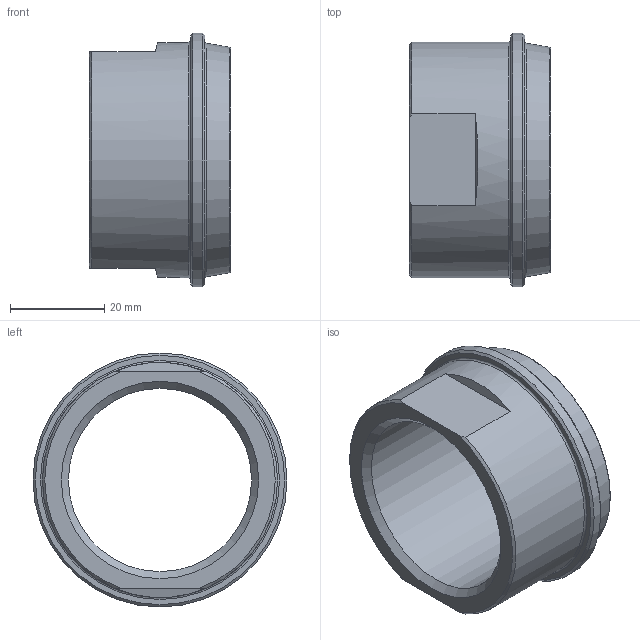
import cadquery as cq
import math

length = 30.0
bore_radius = 38.95 / 2
bore_chamfer_width = 1.5
bore_chamfer_angle = 45.0

body_radius = 25.0
front_chamfer = 0.5

collar_radius = 27.0
collar_start = 21.5
collar_width = 3.0
collar_end = collar_start + collar_width
collar_chamfer = 0.5
root_fillet = 0.4

taper_start_radius = 24.87
taper_slope = 1 / 6
rear_chamfer_length = 0.15
rear_chamfer_height = 0.1

width_across_flats = 46.0
flat_length = 14.0
flat_end_slope = 15.0


def revolve_about_x(profile):
    """Revolve a closed (axial, radial) outline around the X axis."""
    return profile.revolve(360, (0, 0, 0), (1, 0, 0))


def taper_radius(x):
    """Radius of the tapered rear end at axial position x."""
    return taper_start_radius - (x - collar_end) * taper_slope


def make_outer_body():
    """Solid of revolution: chamfered body, chamfered collar and tapered end."""
    front_root_end = (collar_start, body_radius + root_fillet)

    taper_angle = math.atan(taper_slope)
    rear_corner_angle = math.pi / 2 + taper_angle
    rear_tangent_length = root_fillet / math.tan(rear_corner_angle / 2)
    rear_root_end_x = collar_end + rear_tangent_length * math.cos(taper_angle)
    rear_chamfer_x = length - rear_chamfer_length

    profile = (
        cq.Workplane("XY")
        .moveTo(0, 0)
        .lineTo(0, body_radius - front_chamfer)
        .lineTo(front_chamfer, body_radius)
        .lineTo(collar_start - root_fillet, body_radius)
        .tangentArcPoint(front_root_end, relative=False)
        .lineTo(collar_start, collar_radius - collar_chamfer)
        .lineTo(collar_start + collar_chamfer, collar_radius)
        .lineTo(collar_end - collar_chamfer, collar_radius)
        .lineTo(collar_end, collar_radius - collar_chamfer)
        .lineTo(collar_end, taper_start_radius + rear_tangent_length)
        .tangentArcPoint((rear_root_end_x, taper_radius(rear_root_end_x)), relative=False)
        .lineTo(rear_chamfer_x, taper_radius(rear_chamfer_x))
        .lineTo(length, taper_radius(rear_chamfer_x) - rear_chamfer_height)
        .lineTo(length, 0)
        .close()
    )
    return revolve_about_x(profile)


def make_bore():
    """Through bore with a conical lead-in at the front face."""
    chamfer_depth = bore_chamfer_width / math.tan(math.radians(bore_chamfer_angle))
    profile = (
        cq.Workplane("XY")
        .moveTo(0, 0)
        .lineTo(0, bore_radius + bore_chamfer_width)
        .lineTo(chamfer_depth, bore_radius)
        .lineTo(length, bore_radius)
        .lineTo(length, 0)
        .close()
    )
    return revolve_about_x(profile)


def make_flat_cutter():
    """Prism that cuts the upper wrench flat, with a sloping wall at its rear end."""
    floor = width_across_flats / 2
    top = collar_radius
    slope_run = (top - floor) * math.tan(math.radians(flat_end_slope))
    return (
        cq.Workplane("XZ")
        .moveTo(0, floor)
        .lineTo(flat_length, floor)
        .lineTo(flat_length + slope_run, top)
        .lineTo(0, top)
        .close()
        .extrude(collar_radius, both=True)
    )


upper_flat = make_flat_cutter()
lower_flat = upper_flat.mirror("XY")
result = make_outer_body().cut(make_bore()).cut(upper_flat).cut(lower_flat)